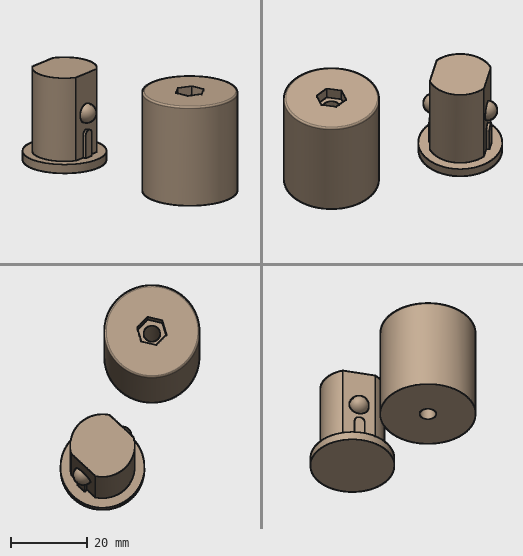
import cadquery as cq

HOUSING_DIAMETER = 25.0
HOUSING_HEIGHT = 27.5
HOUSING_EDGE_RADIUS = 0.5
BOLT_HOLE_DIAMETER = 4.3
NUT_ACROSS_CORNERS = 7.9
NUT_POCKET_DEPTH = 3.0

TOTAL_WIDTH = 55.35
TOTAL_DEPTH = 36.1
TOTAL_HEIGHT = 30.6
FLANGE_DIAMETER = 22.0
FLANGE_THICKNESS = 2.5
PLUG_HEIGHT = 25.5
POST_DIAMETER = 16.95
POST_ACROSS_FLATS = 14.5
BALL_DIAMETER = 5.25
BALL_HEIGHT = 14.5
KEY_WIDTH = 2.65
KEY_TOP = 10.0
KEY_SPAN = 16.15

CENTRE_SPACING_X = TOTAL_WIDTH - (HOUSING_DIAMETER + FLANGE_DIAMETER) / 2
CENTRE_SPACING_Y = TOTAL_DEPTH - (HOUSING_DIAMETER + FLANGE_DIAMETER) / 2
PLUG_BASE_Z = TOTAL_HEIGHT - PLUG_HEIGHT


def make_housing():
    """Cylinder with a rounded top edge, a through hole and a hexagonal nut pocket in its top."""
    body = (
        cq.Workplane("XY")
        .circle(HOUSING_DIAMETER / 2)
        .extrude(HOUSING_HEIGHT)
        .faces(">Z")
        .edges().fillet(HOUSING_EDGE_RADIUS)
    )
    bolt_hole = cq.Workplane("XY").circle(BOLT_HOLE_DIAMETER / 2).extrude(HOUSING_HEIGHT)
    nut_pocket = (
        cq.Workplane("XY", origin=(0, 0, HOUSING_HEIGHT))
        .polygon(6, NUT_ACROSS_CORNERS)
        .extrude(-NUT_POCKET_DEPTH)
    )
    return body.cut(bolt_hole).cut(nut_pocket)


def make_post():
    """Round post with two flats facing -X and +X."""
    post = cq.Workplane("XY").circle(POST_DIAMETER / 2).extrude(PLUG_HEIGHT)
    flats = cq.Workplane("XY").rect(POST_ACROSS_FLATS, POST_DIAMETER).extrude(PLUG_HEIGHT)
    return post.intersect(flats)


def make_keys():
    """Round-topped bar through the post, whose ends form a key on each flat."""
    shoulder = KEY_TOP - KEY_WIDTH / 2
    return (
        cq.Workplane("YZ")
        .moveTo(-KEY_WIDTH / 2, 0)
        .lineTo(KEY_WIDTH / 2, 0)
        .lineTo(KEY_WIDTH / 2, shoulder)
        .threePointArc((0, KEY_TOP), (-KEY_WIDTH / 2, shoulder))
        .close()
        .extrude(KEY_SPAN / 2, both=True)
    )


def make_plug():
    """Flanged post with keys and detent balls, as one solid."""
    plug = cq.Workplane("XY").circle(FLANGE_DIAMETER / 2).extrude(FLANGE_THICKNESS)
    plug = plug.union(make_post()).union(make_keys())
    for side in (-1, 1):
        ball_centre = (side * POST_ACROSS_FLATS / 2, 0, BALL_HEIGHT)
        plug = plug.union(cq.Workplane("XY").sphere(BALL_DIAMETER / 2).translate(ball_centre))
    return plug.translate((-CENTRE_SPACING_X, -CENTRE_SPACING_Y, PLUG_BASE_Z))


housing = make_housing()
plug = make_plug()
result = cq.Compound.makeCompound([housing.val(), *plug.solids().vals()])